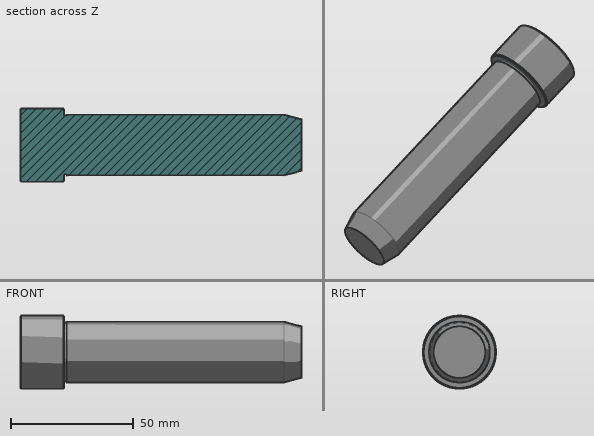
import cadquery as cq
import math

total_length = 115.0
head_diameter = 30.0
head_length = 17.9
head_chamfer = 0.5
shank_diameter = 25.0

groove_width = 1.0
groove_depth = 0.5

lead_length = 7.2
lead_angle = 15.0

head_radius = head_diameter / 2
shank_radius = shank_diameter / 2
groove_middle = head_length + groove_width / 2
groove_end = head_length + groove_width
lead_start = total_length - lead_length
tip_radius = shank_radius - lead_length * math.tan(math.radians(lead_angle))

profile = (
    cq.Workplane("XY")
    .moveTo(0, 0)
    .lineTo(0, head_radius - head_chamfer)
    .lineTo(head_chamfer, head_radius)
    .lineTo(head_length - head_chamfer, head_radius)
    .lineTo(head_length, head_radius - head_chamfer)
    .lineTo(head_length, shank_radius)
    .threePointArc((groove_middle, shank_radius - groove_depth), (groove_end, shank_radius))
    .lineTo(lead_start, shank_radius)
    .lineTo(total_length, tip_radius)
    .lineTo(total_length, 0)
    .close()
)

result = profile.revolve(360, (0, 0, 0), (1, 0, 0))